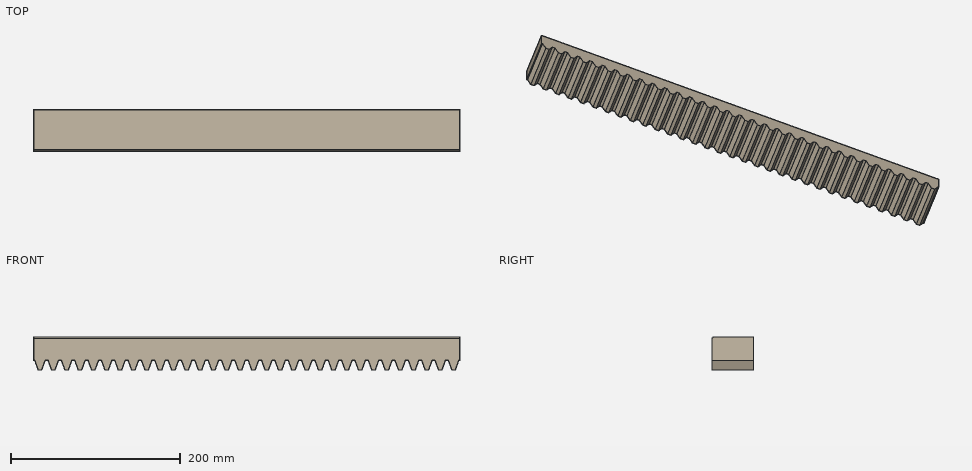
import cadquery as cq
import math

length = 502.0
width = 49.0
height = 39.0
edge_chamfer = 2.0

joint_gap = 1.0
tooth_count = 32
pitch = (length + joint_gap) / tooth_count

module = pitch / math.pi
pressure_angle = math.radians(20)
addendum = module
dedendum = 1.25 * module
tooth_depth = addendum + dedendum

flank_slope = math.tan(pressure_angle)
half_gap_at_tip = pitch / 4 + addendum * flank_slope
half_gap_at_root = pitch / 4 - dedendum * flank_slope


def make_bar():
    """Full-height bar, centred on X and Y, with one long top edge chamfered."""
    bar = cq.Workplane("XY").box(length, width, height, centered=(True, True, False))
    return bar.faces(">Z").edges("<Y").chamfer(edge_chamfer)


def make_tooth_space():
    """Tapered gap between two teeth, running across the full width."""
    outline = [
        (-half_gap_at_tip, 0),
        (-half_gap_at_root, tooth_depth),
        (half_gap_at_root, tooth_depth),
        (half_gap_at_tip, 0),
    ]
    return cq.Workplane("XZ").polyline(outline).close().extrude(width / 2, both=True)


result = make_bar()
tooth_space = make_tooth_space()
for index in range(tooth_count + 1):
    center_x = (index - tooth_count / 2) * pitch
    result = result.cut(tooth_space.translate((center_x, 0, 0)))